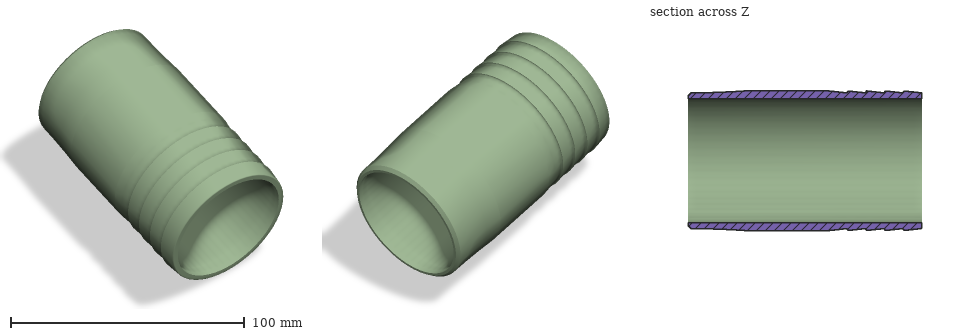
import cadquery as cq

length = 100.0
bore_diameter = 53.1
body_radius = 60.3 / 2
body_start = 26.7
body_end = 58.7

spigot_radius = 58.4 / 2
chamfer = 1.4

flare_length = body_start - chamfer
flare_rise = body_radius - spigot_radius
flare_radius = (flare_length**2 + flare_rise**2) / (2 * flare_rise)

barb_count = 4
barb_pitch = 8.0
barb_root_radius = 29.2
barb_fillet = 0.7
barb_crest_radius = 30.0
end_rounding = 0.5
first_root = length - end_rounding - barb_count * barb_pitch


def outer_solid():
    """Solid of revolution bounded by the outer profile."""
    profile = (
        cq.Workplane("XY")
        .lineTo(0, spigot_radius - chamfer)
        .lineTo(chamfer, spigot_radius)
        .radiusArc((body_start, body_radius), -flare_radius)
        .lineTo(body_end, body_radius)
        .lineTo(first_root, barb_root_radius)
    )
    for index in range(barb_count):
        root = first_root + index * barb_pitch
        profile = (
            profile
            .radiusArc((root + barb_fillet, barb_root_radius + barb_fillet), -barb_fillet)
            .lineTo(root + barb_fillet, barb_crest_radius)
            .lineTo(root + barb_pitch, barb_root_radius)
        )
    profile = (
        profile
        .radiusArc((length, barb_root_radius - end_rounding), end_rounding)
        .lineTo(length, 0)
        .close()
    )
    return profile.revolve(360, (0, 0, 0), (1, 0, 0))


bore = cq.Workplane("YZ").circle(bore_diameter / 2).extrude(length)

result = outer_solid().cut(bore)